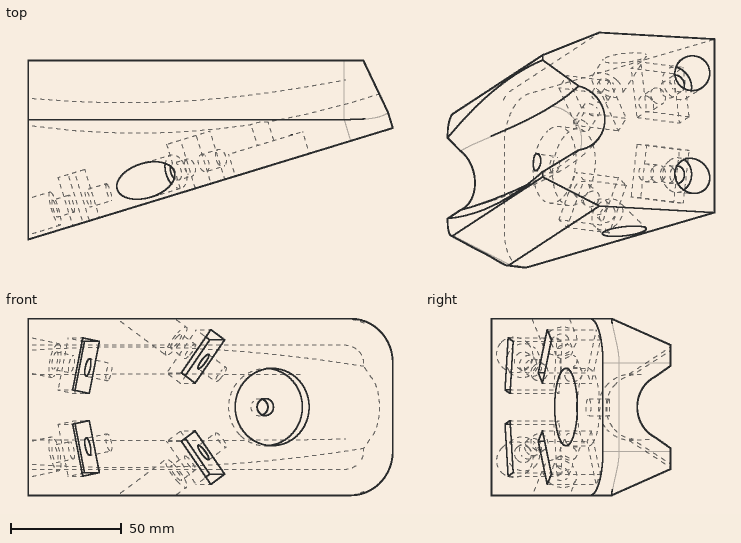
import cadquery as cq
import math


TILT = math.radians(17.0)
FRONT_LENGTH = 172.5
END_DEPTH = 81.04
HEIGHT = 80.0
CORNER_RADIUS = 20.0
REACH = 200.0

BACK_HEIGHT = 56.2
BACK_LENGTH = 151.6
BACK_CORNER_X = 142.8
SIDE_TAPER = math.radians(24.0)
END_TAPER = math.radians(25.5)

CHANNEL_RADIUS = 15.0
CHANNEL_BEND_RADIUS = 333.0
CHANNEL_APEX_X = 49.0
CHANNEL_APEX_DEPTH = 17.8
FLARE_BEND_RADIUS = 440.0
FLARE_APEX_X = 45.0
FLARE_APEX_DEPTH = 22.8
FLARE_INNER_HALF = 12.5
FLARE_ANGLE = math.radians(33.0)
FLARE_LENGTH = 45.0

SOCKET_POSITION = 115.4
SOCKET_DIAMETER = 35.0
SOCKET_DEPTH = 10.5
PIN_DIAMETER = 7.7

SCREW_DEPTH = 10.0
SCREW_DIAMETER = 8.0
HEAD_DIAMETER = 15.7
HEAD_SEAT = 12.0
SCREW_PAST_NUT = 14.0
NUT_WIDTH = 24.0
NUT_THICKNESS = 8.0
NUT_SLOT_DEPTH = 23.0
END_SCREW = (27.4, 18.7, 11.5)
TOP_SCREW = (82.7, 22.9, 35.5)

FRONT_PLANE = cq.Plane(
    origin=(0, -END_DEPTH, 0),
    xDir=(math.cos(TILT), math.sin(TILT), 0),
    normal=(math.sin(TILT), -math.cos(TILT), 0),
)


def front_slab():
    """Rounded slab square to the front face; its left half is trimmed away later."""
    return (
        cq.Workplane(FRONT_PLANE)
        .rect(2 * FRONT_LENGTH, HEIGHT)
        .extrude(-REACH)
        .edges(cq.selectors.ParallelDirSelector(FRONT_PLANE.zDir))
        .fillet(CORNER_RADIUS)
    )


def back_outline(depth):
    """Outline of the tapered back at a depth, with elliptical corners at the far end."""
    end_x = BACK_LENGTH + depth * math.tan(END_TAPER)
    half_height = BACK_HEIGHT / 2 + depth * math.tan(SIDE_TAPER)
    corner_z = HEIGHT / 2 - CORNER_RADIUS
    radius_x = end_x - BACK_CORNER_X
    radius_z = half_height - corner_z

    def corner_arc(center_z, start, end):
        center = cq.Vector(BACK_CORNER_X, -depth, center_z)
        return cq.Edge.makeEllipse(
            radius_x, radius_z, center, cq.Vector(0, -1, 0), cq.Vector(1, 0, 0), start, end
        )

    def point(x, z):
        return cq.Vector(x, -depth, z)

    return cq.Wire.assembleEdges([
        cq.Edge.makeLine(point(0, half_height), point(0, -half_height)),
        cq.Edge.makeLine(point(0, -half_height), point(BACK_CORNER_X, -half_height)),
        corner_arc(-corner_z, 270, 360),
        cq.Edge.makeLine(point(end_x, -corner_z), point(end_x, corner_z)),
        corner_arc(corner_z, 0, 90),
        cq.Edge.makeLine(point(BACK_CORNER_X, half_height), point(0, half_height)),
    ])


def body():
    tapered = cq.Solid.makeLoft([back_outline(0), back_outline(END_DEPTH)], True)
    return front_slab().intersect(cq.Workplane(tapered))


def groove_section(apex_x, apex_depth):
    """Plane across the groove at its deepest place: local x along +Y, local y along Z."""
    return cq.Workplane(cq.Plane(origin=(apex_x, -apex_depth, 0), xDir=(0, 1, 0), normal=(1, 0, 0)))


def channel():
    return (
        groove_section(CHANNEL_APEX_X, CHANNEL_APEX_DEPTH)
        .circle(CHANNEL_RADIUS)
        .revolve(360, (CHANNEL_BEND_RADIUS, 0), (CHANNEL_BEND_RADIUS, 1))
    )


def flare():
    outer_half = FLARE_INNER_HALF + FLARE_LENGTH * math.tan(FLARE_ANGLE)
    return (
        groove_section(FLARE_APEX_X, FLARE_APEX_DEPTH)
        .polyline([
            (0, -FLARE_INNER_HALF),
            (FLARE_LENGTH, -outer_half),
            (FLARE_LENGTH, outer_half),
            (0, FLARE_INNER_HALF),
        ])
        .close()
        .revolve(360, (FLARE_BEND_RADIUS, 0), (FLARE_BEND_RADIUS, 1))
    )


def socket():
    center = cq.Workplane(FRONT_PLANE).center(SOCKET_POSITION, 0)
    bore = center.circle(SOCKET_DIAMETER / 2).extrude(-SOCKET_DEPTH)
    pin_hole = center.circle(PIN_DIAMETER / 2).extrude(-END_DEPTH)
    return bore.union(pin_hole)


def screw(position, height, inclination):
    """Upper screw hole with its nut slot and head recess."""
    nut = (
        cq.Workplane(FRONT_PLANE)
        .center(position, height)
        .transformed(rotate=(0, 0, -inclination))
    )
    slot = nut.rect(NUT_THICKNESS, NUT_WIDTH).extrude(-NUT_SLOT_DEPTH)
    axis = nut.transformed(offset=(0, 0, -SCREW_DEPTH), rotate=(0, -90, 0))
    hole = axis.workplane(offset=-SCREW_PAST_NUT).circle(SCREW_DIAMETER / 2).extrude(REACH / 2)
    head = axis.workplane(offset=HEAD_SEAT).circle(HEAD_DIAMETER / 2).extrude(REACH / 2)
    return slot.union(hole).union(head)


result = body().cut(socket()).cut(flare()).cut(channel())
for placement in (END_SCREW, TOP_SCREW):
    upper_screw = screw(*placement)
    result = result.cut(upper_screw).cut(upper_screw.mirror("XY"))